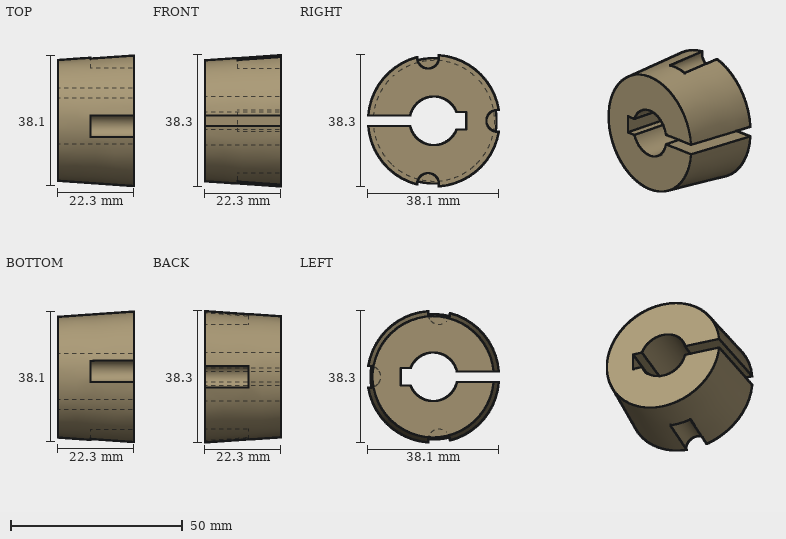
import cadquery as cq

length = 22.25
large_diameter = 38.4
large_radius = large_diameter / 2
small_radius = 17.65
bore_radius = 7.05

keyway_width = 5.0
keyway_reach = 9.38

slit_width = 3.0

groove_diameter = 6.3
groove_radius = groove_diameter / 2
groove_length = 12.75
groove_pitch_radius = 18.45
groove_shift = 1.7
groove_height = (groove_pitch_radius**2 - groove_shift**2) ** 0.5
groove_centers = [
    (groove_pitch_radius, 0),
    (-groove_shift, groove_height),
    (-groove_shift, -groove_height),
]


def make_tapered_body():
    """Cone frustum along X."""
    half_section = [(0, 0), (length, 0), (length, large_radius), (0, small_radius)]
    return cq.Workplane("XY").polyline(half_section).close().revolve(360, (0, 0, 0), (1, 0, 0))


def make_bore():
    return cq.Workplane("YZ").circle(bore_radius).extrude(length)


def make_keyway():
    return cq.Workplane("XY").box(length, keyway_reach, keyway_width, centered=(False, False, True))


def make_slit():
    slit = cq.Workplane("XY").box(length, large_radius, slit_width, centered=(False, False, True))
    return slit.translate((0, -large_radius, 0))


def make_grooves():
    start_plane = cq.Workplane("YZ", origin=(length - groove_length, 0, 0))
    return start_plane.pushPoints(groove_centers).circle(groove_radius).extrude(groove_length)


result = (
    make_tapered_body()
    .cut(make_bore())
    .cut(make_keyway())
    .cut(make_slit())
    .cut(make_grooves())
)